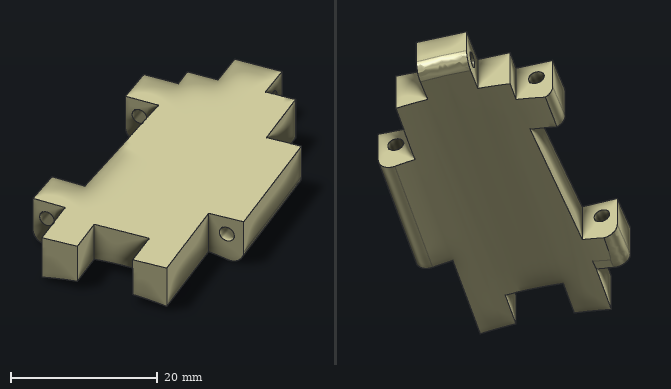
import cadquery as cq

total_width = 28.8
total_length = 50.3

body_left_front = 4.95
body_left_rear = 7.25
body_right = 23.55
slot_left = 10.2
slot_right = 18.45
right_lug_front = 14.5
right_lug_rear = 34.5
rear_lug_left = 11.95
rear_lug_right = 19.15
rear_lug_drop = 0.2
rear_lug_left_corner = (rear_lug_left, total_length)
rear_lug_right_corner = (rear_lug_right, total_length - rear_lug_drop)
rear_shoulder = 44.6

crown_x = 14.7
left_lug_crown_x = 14.1
crown_depth = 5.65
underside_radius = 52.85
rod_length = 1.1 * total_length
blank_depth = 10.05

lug_rounding = 1.95
edge_margin = 0.5
lower_edge_depth = 4.55
hole_diameter = 2.2
hole_depth = 2.7
left_hole_front_x = 1.6
right_hole_inset = 2.5
rear_hole_inset = 2.5

lower_lug_front = (0.0, 8.3)
lower_lug_rear = (0.3, 14.2)
upper_lug_front = (1.8, 36.05)
upper_lug_rear = (2.0, 41.95)
lower_root_front = (body_left_front, 8.0)
lower_root_rear = (5.35, 13.9)
upper_root_front = (6.85, 35.85)
upper_root_rear = (body_left_rear, 41.8)
left_direction = (
    upper_lug_front[0] - lower_lug_front[0],
    upper_lug_front[1] - lower_lug_front[1],
    0,
)

body_outline = [
    (body_left_front, 0),
    (slot_left, 0),
    (slot_left, 5.85),
    (slot_right, 5.7),
    (slot_right, 0),
    (body_right, 0),
    (body_right, right_lug_front),
    (total_width, right_lug_front),
    (total_width, right_lug_rear),
    (body_right, right_lug_rear),
    (body_right, rear_shoulder),
    (19.0, rear_shoulder),
    rear_lug_right_corner,
    rear_lug_left_corner,
    (11.85, 44.8),
    (body_left_rear, 44.95),
    upper_root_rear,
    upper_root_front,
    lower_root_rear,
    lower_root_front,
]
left_lug_outlines = [
    [lower_lug_front, lower_root_front, lower_root_rear, lower_lug_rear],
    [upper_lug_front, upper_root_front, upper_root_rear, upper_lug_rear],
]


def rod(radius, start, direction):
    """Solid cylinder from a start point along a direction."""
    return cq.Workplane(
        cq.Solid.makeCylinder(radius, rod_length, cq.Vector(*start), cq.Vector(*direction))
    )


def round_lug(part, first_corner, second_corner):
    """Round the lower edge of a lug between the two XY corners of its outer face."""
    low_corner = (
        min(first_corner[0], second_corner[0]) - edge_margin,
        min(first_corner[1], second_corner[1]) - edge_margin,
        -blank_depth,
    )
    high_corner = (
        max(first_corner[0], second_corner[0]) + edge_margin,
        max(first_corner[1], second_corner[1]) + edge_margin,
        -lower_edge_depth,
    )
    lower_edge = cq.selectors.BoxSelector(low_corner, high_corner)
    return part.edges(lower_edge).fillet(lug_rounding)


def drill(part, start, direction):
    """Cut a pin hole long enough to pass through the whole part."""
    return part.cut(rod(hole_diameter / 2, start, direction))


def underside(front_crown_x, direction):
    """Cylinder that hollows the underside, running along a direction from the front of the part."""
    return rod(underside_radius, (front_crown_x, 0, -crown_depth - underside_radius), direction)


def plate(outline):
    """Flat-topped blank below Z = 0."""
    return cq.Workplane("XY").polyline(outline).close().extrude(-blank_depth)


body_underside = underside(crown_x, (0, 1, 0))
body = plate(body_outline).cut(body_underside)

body = round_lug(body, (total_width, right_lug_front), (total_width, right_lug_rear))
body = round_lug(body, rear_lug_left_corner, rear_lug_right_corner)

left_lug_underside = underside(left_lug_crown_x, left_direction)
for outline in left_lug_outlines:
    lug = plate(outline).cut(left_lug_underside)
    lug = round_lug(lug, outline[0], outline[-1])
    body = body.union(lug.cut(body_underside))

body = drill(body, (left_hole_front_x, 0, -hole_depth), left_direction)
body = drill(body, (total_width - right_hole_inset, 0, -hole_depth), (0, 1, 0))
rear_direction = (rear_lug_right - rear_lug_left, -rear_lug_drop, 0)
result = drill(body, (0, total_length - rear_hole_inset, -hole_depth), rear_direction)